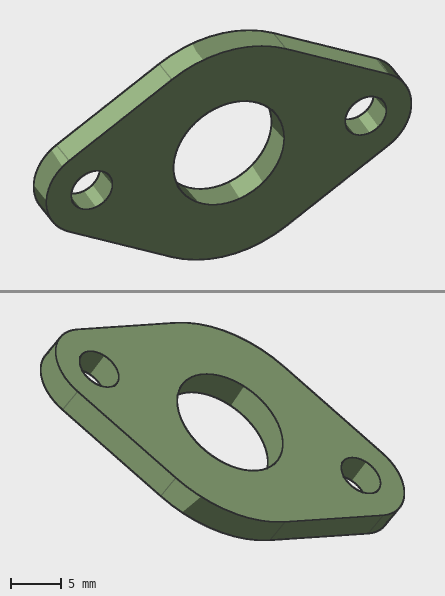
import cadquery as cq
import math

thickness = 3.0
length = 40.0
height = 25.0
hole_spacing = 30.0
bolt_hole_diameter = 4.5
bore_diameter = 12.1

hub_radius = height / 2
hole_offset = hole_spacing / 2
ear_radius = length / 2 - hole_offset
tangent_angle = math.asin((hub_radius - ear_radius) / hole_offset)

hub_y = hub_radius * math.sin(tangent_angle)
hub_z = hub_radius * math.cos(tangent_angle)
ear_y = hole_offset + ear_radius * math.sin(tangent_angle)
ear_z = ear_radius * math.cos(tangent_angle)


def flange_plate():
    """Rhombic plate in the YZ plane, centred on the X axis."""
    outline = (
        cq.Workplane("YZ", origin=(-thickness / 2, 0, 0))
        .moveTo(-hub_y, hub_z)
        .threePointArc((0, hub_radius), (hub_y, hub_z))
        .lineTo(ear_y, ear_z)
        .threePointArc((length / 2, 0), (ear_y, -ear_z))
        .lineTo(hub_y, -hub_z)
        .threePointArc((0, -hub_radius), (-hub_y, -hub_z))
        .lineTo(-ear_y, -ear_z)
        .threePointArc((-length / 2, 0), (-ear_y, ear_z))
        .close()
    )
    return outline.extrude(thickness)


def through_hole(diameter, y):
    """Cylinder along X that cuts through the full plate thickness."""
    start_plane = cq.Workplane("YZ", origin=(-thickness / 2, y, 0))
    return start_plane.circle(diameter / 2).extrude(thickness)


result = flange_plate().cut(through_hole(bore_diameter, 0))
for side in (-1, 1):
    result = result.cut(through_hole(bolt_hole_diameter, side * hole_offset))